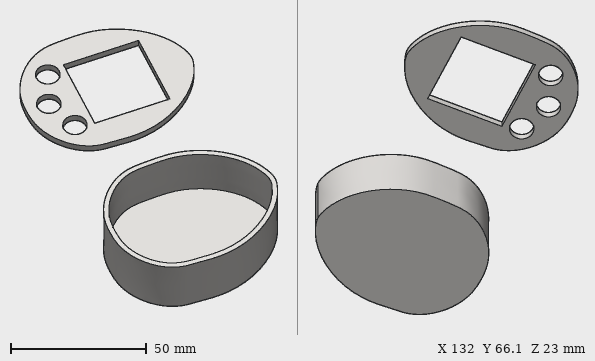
import cadquery as cq
blunt_end_y = -28.0
tip_y = 38.14
flank_points = [(7.78, -27.13), (24.88, -11.0), (25.855, -2.65), (25.7, 8.38), (3.43, 37.52)]

plate_thickness = 3.0
window_size = 30.0
window_y = 8.1
button_diameter = 9.0
button_spacing = 13.0
side_button_y = -14.0
middle_button_y = -19.0

case_x = 80.0
case_height = 23.0
wall_thickness = 2.0
floor_thickness = 3.0
inset_steps = 16


def mirrored_outline(right_points):
    """Closed outline of two mirrored splines that run level through both points on the Y axis."""
    left_points = [(-x, y) for x, y in reversed(right_points)]
    right_end_directions = [(1, 0), (-1, 0)]
    left_end_directions = [(-1, 0), (1, 0)]
    return (
        cq.Workplane("XY")
        .spline(right_points, tangents=right_end_directions, scale=False)
        .spline(left_points, tangents=left_end_directions, scale=False)
        .wire()
    )


def egg_outline():
    return mirrored_outline([(0, blunt_end_y), *flank_points, (0, tip_y)])


def inset_outline(inset):
    """Egg outline moved inward by an even distance."""
    right_edge = egg_outline().edges(">X").val()
    inset_points = []
    for step in range(inset_steps + 1):
        fraction = step / inset_steps
        point = right_edge.positionAt(fraction)
        direction = right_edge.tangentAt(fraction)
        inset_points.append((point.x - inset * direction.y, point.y + inset * direction.x))
    return mirrored_outline(inset_points)


def make_face_plate():
    plate = egg_outline().extrude(plate_thickness)
    window = (
        cq.Workplane("XY")
        .center(0, window_y)
        .rect(window_size, window_size)
        .extrude(plate_thickness)
    )
    button_centers = [
        (-button_spacing, side_button_y),
        (0, middle_button_y),
        (button_spacing, side_button_y),
    ]
    buttons = (
        cq.Workplane("XY")
        .pushPoints(button_centers)
        .circle(button_diameter / 2)
        .extrude(plate_thickness)
    )
    return plate.cut(window).cut(buttons)


def make_case():
    case = egg_outline().extrude(case_height)
    cavity = inset_outline(wall_thickness).extrude(case_height - floor_thickness)
    cavity = cavity.translate((0, 0, floor_thickness))
    return case.cut(cavity).translate((case_x, 0, 0))


face_plate = make_face_plate()
case = make_case()

result = cq.Compound.makeCompound([face_plate.val(), case.val()])